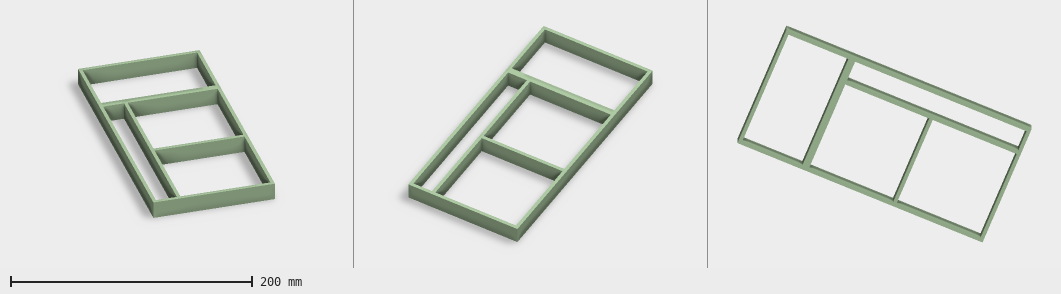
import cadquery as cq

length = 220.0
width = 105.0
height = 15.0

wall = 3.0
thick_divider = 6.0
left_bay_length = 54.0
front_bay_width = 18.0

inner_left = -length / 2 + wall
inner_right = length / 2 - wall
inner_front = -width / 2 + wall
inner_back = width / 2 - wall

left_bay_right = inner_left + left_bay_length
right_area_left = left_bay_right + thick_divider
front_bay_back = inner_front + front_bay_width
back_bay_front = front_bay_back + wall
back_bay_length = (inner_right - right_area_left - wall) / 2


def opening(left, right, front, back):
    """Full-height rectangular block that clears one compartment."""
    return cq.Workplane("XY").box(right - left, back - front, height, centered=False).translate(
        (left, front, -height / 2)
    )


result = cq.Workplane("XY").box(length, width, height)

result = result.cut(opening(inner_left, left_bay_right, inner_front, inner_back))
result = result.cut(opening(right_area_left, inner_right, inner_front, front_bay_back))

for index in range(2):
    bay_left = right_area_left + index * (back_bay_length + wall)
    result = result.cut(opening(bay_left, bay_left + back_bay_length, back_bay_front, inner_back))